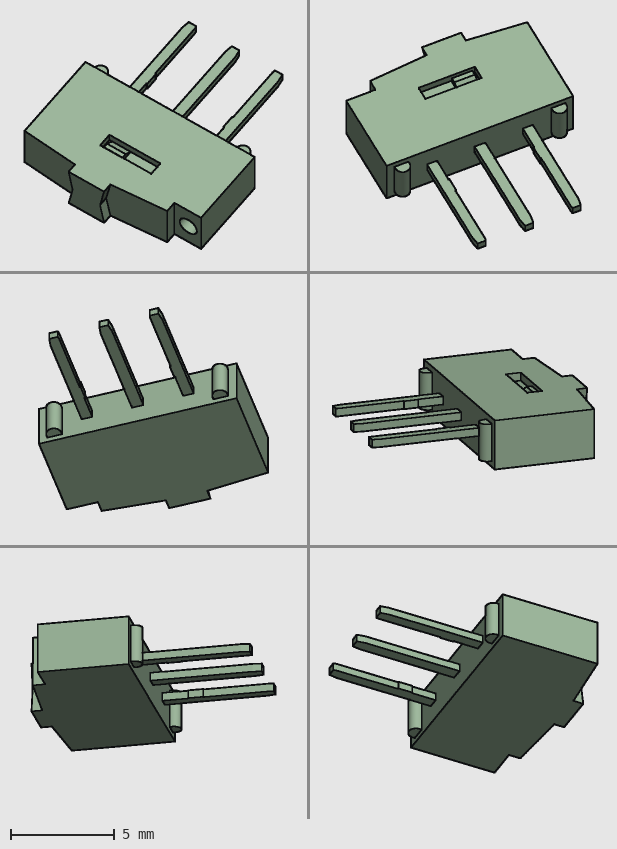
import cadquery as cq

body_length = 10.0
body_depth = 4.5
thickness = 2.5
total_depth = 11.4
mid_height = thickness / 2
overlap = 0.11

slider_length = 8.42
slider_end_depth = 0.6
slider_mid_depth = 0.89
slider_reach = 1.4
slider_center = slider_length / 2
knob_width = 2.1
knob_waist_width = 1.62

hole_diameter = 1.0
hole_from_end = 0.75
hole_depth = 1.71

window_start = 3.49
window_length = 3.01
window_front = 0.8
window_width = 0.76
window_depth = 0.41
indicator_start = 3.65
indicator_length = 1.1
indicator_front_gap = 0.07
indicator_flat_width = 0.27
indicator_below_top = 0.14

pin_reach = total_depth - body_depth - slider_reach
pin_pitch = 2.54
pin_width = 0.58
pin_thickness = 0.41
pin_tip_width = 0.45
pin_tip_length = 0.43
pin_relief = 0.05
pin_shoulder_start = 1.28
pin_shoulder_length = 0.74

peg_from_end = 0.8
peg_width = 0.75
peg_reach = 0.5
peg_height = 1.89


def make_slider():
    knob_left = slider_center - knob_width / 2
    knob_right = slider_center + knob_width / 2
    waist_left = slider_center - knob_waist_width / 2
    waist_right = slider_center + knob_waist_width / 2
    bar = (
        cq.Workplane("XY")
        .moveTo(0, overlap)
        .lineTo(0, -slider_end_depth)
        .lineTo(waist_left, -slider_mid_depth)
        .lineTo(waist_right, -slider_mid_depth)
        .lineTo(slider_length, -slider_end_depth)
        .lineTo(slider_length, overlap)
        .close()
        .extrude(thickness)
    )
    knob = (
        cq.Workplane("XZ")
        .polyline([
            (knob_left, 0),
            (knob_right, 0),
            (waist_right, mid_height),
            (knob_right, thickness),
            (knob_left, thickness),
            (waist_left, mid_height),
        ])
        .close()
        .extrude(slider_reach)
    )
    return bar.union(knob)


def make_hole():
    return (
        cq.Workplane("XZ")
        .center(body_length - hole_from_end, mid_height)
        .circle(hole_diameter / 2)
        .extrude(-hole_depth)
    )


def make_window():
    corner = (window_start, window_front, thickness - window_depth)
    return cq.Workplane("XY", origin=corner).box(
        window_length, window_width, window_depth, centered=False
    )


def make_indicator():
    front = window_front + indicator_front_gap
    rear = window_front + window_width
    floor = thickness - window_depth
    top = thickness - indicator_below_top
    return (
        cq.Workplane("YZ", origin=(indicator_start, 0, 0))
        .moveTo(front, floor - overlap)
        .lineTo(front, top)
        .lineTo(front + indicator_flat_width, top)
        .lineTo(rear, floor)
        .lineTo(rear, floor - overlap)
        .close()
        .extrude(indicator_length)
    )


def make_pin(side):
    """Pin at side -1, 0 or 1; outer pins are relieved on the edge facing the middle pin."""
    half_width = pin_width / 2
    half_tip = pin_tip_width / 2
    base = mid_height - pin_thickness / 2
    pin = (
        cq.Workplane("XY", origin=(0, body_depth, base))
        .moveTo(-half_width, -overlap)
        .lineTo(half_width, -overlap)
        .lineTo(half_width, pin_reach - pin_tip_length)
        .lineTo(half_tip, pin_reach)
        .lineTo(-half_tip, pin_reach)
        .lineTo(-half_width, pin_reach - pin_tip_length)
        .close()
        .extrude(pin_thickness)
    )
    if side != 0:
        shoulder_end = pin_shoulder_start + pin_shoulder_length
        for start, end in [(0, pin_shoulder_start), (shoulder_end, pin_reach)]:
            relief_center = (-side * half_width, body_depth + (start + end) / 2, mid_height)
            relief = cq.Workplane("XY").box(2 * pin_relief, end - start, pin_thickness).translate(relief_center)
            pin = pin.cut(relief)
    return pin.translate((body_length / 2 + side * pin_pitch, 0, 0))


def make_peg(center_x):
    half_width = peg_width / 2
    shoulder = peg_reach - half_width
    return (
        cq.Workplane("XY", origin=(center_x, body_depth, mid_height - peg_height / 2))
        .moveTo(-half_width, -overlap)
        .lineTo(half_width, -overlap)
        .lineTo(half_width, shoulder)
        .threePointArc((0, peg_reach), (-half_width, shoulder))
        .close()
        .extrude(peg_height)
    )


result = cq.Workplane("XY").box(body_length, body_depth, thickness, centered=False)
result = result.cut(make_hole()).cut(make_window())
result = result.union(make_indicator()).union(make_slider())
for pin_side in (-1, 0, 1):
    result = result.union(make_pin(pin_side))
for peg_x in (peg_from_end, body_length - peg_from_end):
    result = result.union(make_peg(peg_x))